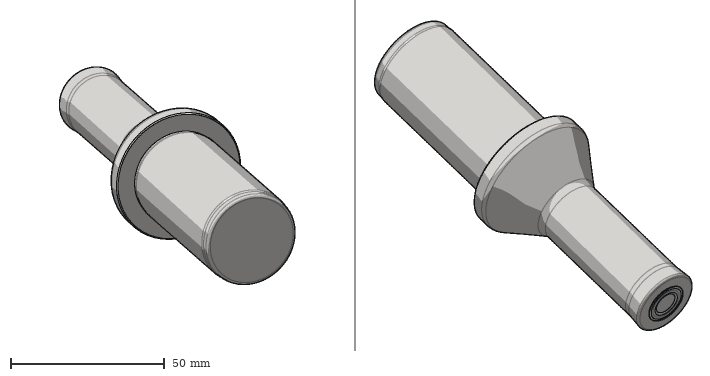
import cadquery as cq
import math

total_length = 133.0

tip_face_x = 0.4
tip_rim_round = 0.8
collar_radius = 11.6
collar_end_x = 6.6
collar_blend_radius = 18.6

shank_radius = 22.0 / 2
cone_start_x = 50.8
cone_start_blend = 5.0
flange_radius = 44.0 / 2
cone_end_x = 67.8
cone_end_blend = 2.9
flange_back_x = 73.0
flange_back_chamfer = 0.4

spigot_radius = 32.0 / 2
relief_radius = 31.5 / 2
relief_ramp = 0.9
front_ramp_x = 74.1
rear_ramp_x = 129.0
spigot_end_round = 1.0

plug_radius = 7.0
plug_depth = 7.7
plug_edge_width = 0.8
plug_edge_depth = 0.33
groove_radius = 5.5
groove_depth = 0.09
dimple_radius = 4.7
dimple_depth = 0.33
dimple_bevel_width = 0.8


def unit_vector(start, end):
    """Unit direction from one profile point to another."""
    length = math.dist(start, end)
    return ((end[0] - start[0]) / length, (end[1] - start[1]) / length)


def add_rounded_corner(profile, before, corner, after, radius):
    """Draw a line to a profile corner and round it with a tangent arc."""
    back = unit_vector(corner, before)
    ahead = unit_vector(corner, after)
    half_angle = math.acos(back[0] * ahead[0] + back[1] * ahead[1]) / 2
    tangent_length = radius / math.tan(half_angle)
    middle_distance = radius / math.sin(half_angle) - radius
    bisector = unit_vector((0, 0), (back[0] + ahead[0], back[1] + ahead[1]))

    def along(direction, distance):
        return (corner[0] + direction[0] * distance, corner[1] + direction[1] * distance)

    return profile.lineTo(*along(back, tangent_length)).threePointArc(
        along(bisector, middle_distance), along(ahead, tangent_length)
    )


def revolve_about_x(profile):
    """Close a half profile and turn it about the X axis."""
    return profile.close().revolve(360, (0, 0, 0), (1, 0, 0))


def make_holder():
    """Shank, cone, flange and spigot, with a blind bore for the plug."""
    outline = [
        ((0, plug_radius), 0),
        ((tip_face_x, collar_radius), tip_rim_round),
        ((collar_end_x, shank_radius), collar_blend_radius),
        ((cone_start_x, shank_radius), cone_start_blend),
        ((cone_end_x, flange_radius), cone_end_blend),
        ((flange_back_x - flange_back_chamfer, flange_radius), 0),
        ((flange_back_x, flange_radius - flange_back_chamfer), 0),
        ((flange_back_x, relief_radius), 0),
        ((front_ramp_x, relief_radius), 0),
        ((front_ramp_x + relief_ramp, spigot_radius), 0),
        ((rear_ramp_x, spigot_radius), 0),
        ((rear_ramp_x + relief_ramp, relief_radius), 0),
        ((total_length, relief_radius), spigot_end_round),
        ((total_length, 0), 0),
        ((plug_depth, 0), 0),
        ((plug_depth, plug_radius), 0),
    ]
    points = [point for point, _ in outline]
    profile = cq.Workplane("XY").moveTo(*points[0])
    for index, (point, radius) in enumerate(outline[1:], start=1):
        if radius > 0:
            profile = add_rounded_corner(profile, points[index - 1], point, points[index + 1], radius)
        else:
            profile = profile.lineTo(*point)
    return revolve_about_x(profile)


def make_plug():
    """Plug with a bevelled rim, a shallow V groove and a central dimple."""
    profile = cq.Workplane("XY").polyline([
        (plug_depth, 0),
        (plug_depth, plug_radius),
        (plug_edge_depth, plug_radius),
        (0, plug_radius - plug_edge_width),
        (groove_depth, groove_radius),
        (0, dimple_radius),
        (dimple_depth, dimple_radius - dimple_bevel_width),
        (dimple_depth, 0),
    ])
    return revolve_about_x(profile)


holder = make_holder()
plug = make_plug()

result = cq.Compound.makeCompound([holder.val(), plug.val()])